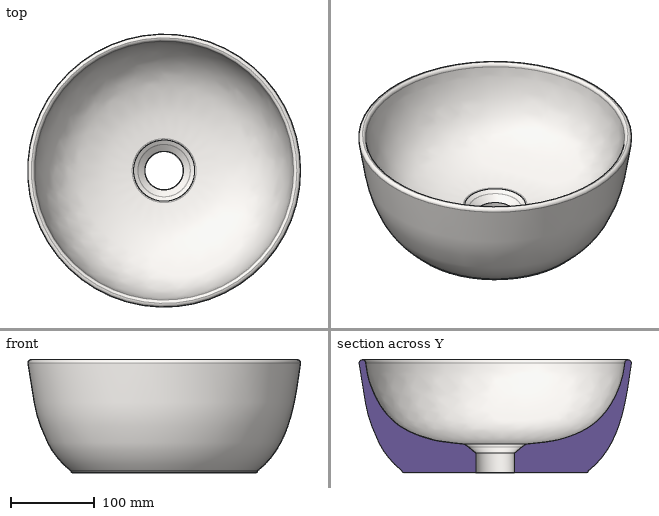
import cadquery as cq

rim_radius = 162.5
height = 135.0
rim_drop = 4.2
rim_edge_z = height - rim_drop
rim_crest_radius = 158.0
rim_inner_radius = 154.0
rim_rounding = 4.5

shoulder_radius = 153.0
shoulder_z = 75.5
belly_radius = 139.5
belly_z = 37.0
foot_radius = 111.0
foot_rounding = 2.3

wall_radius = 144.5
wall_z = 95.2
turn_radius = 112.0
turn_z = 55.0
floor_radius = 78.0
floor_z = 40.3
wall_tangent = (-0.1, -1)
floor_tangent = (-1, -0.1)

lip_radius = 38.0
lip_z = 34.5
lip_drop = 0.3
seat_radius = 36.5
seat_z = lip_z - lip_drop
bend_radius = 31.2
bend_z = 30.5
hole_radius = 22.7
hole_z = 23.5

foot = (
    cq.Workplane("XZ")
    .moveTo(hole_radius, 0)
    .lineTo(foot_radius - foot_rounding, 0)
    .radiusArc((foot_radius, foot_rounding), -foot_rounding)
)
outer_wall = foot.spline(
    [(belly_radius, belly_z), (shoulder_radius, shoulder_z), (rim_radius, rim_edge_z)],
    includeCurrent=True,
)
rim = outer_wall.radiusArc((rim_crest_radius, height), -rim_rounding).radiusArc(
    (rim_inner_radius, rim_edge_z), -rim_rounding
)
bowl = rim.spline(
    [(wall_radius, wall_z), (turn_radius, turn_z), (floor_radius, floor_z), (lip_radius, lip_z)],
    tangents=[wall_tangent, floor_tangent],
    includeCurrent=True,
)
drain = (
    bowl.lineTo(seat_radius, seat_z)
    .lineTo(bend_radius, bend_z)
    .lineTo(hole_radius, hole_z)
    .close()
)

result = drain.revolve(360, (0, 0, 0), (0, 1, 0))